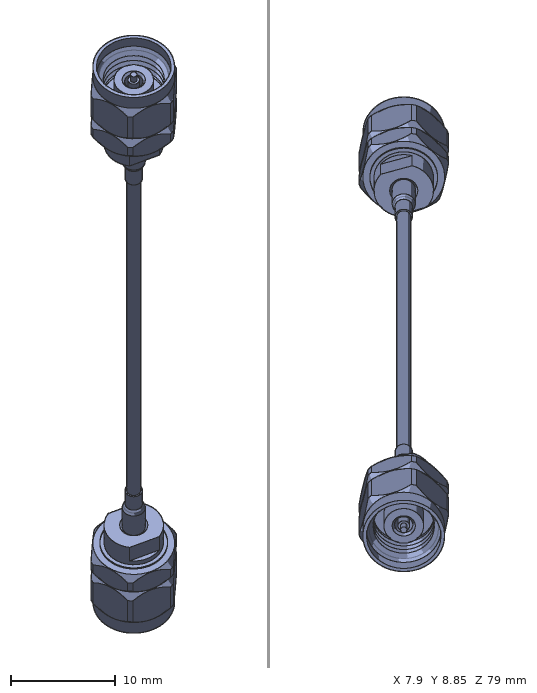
import cadquery as cq
import math

TOTAL_LENGTH = 79.0
TIP_Z = TOTAL_LENGTH / 2

HEX_ACROSS_FLATS = 7.9
HEX_CORNER_DIAMETER = 8.85
HEX_CHAMFER_LENGTH = 0.7
HEX_CHAMFER_INSET = 0.04
HEX_CHAMFER_RADIUS = HEX_ACROSS_FLATS / 2 - HEX_CHAMFER_INSET

COLLAR_RADIUS = HEX_CHAMFER_RADIUS
COLLAR_LENGTH = 1.6
NUT_LENGTH = 6.1
MOUTH_RADIUS = 3.55
MOUTH_DEPTH = 1.2
THREAD_MAJOR_RADIUS = 3.3
THREAD_MINOR_RADIUS = 2.9
THREAD_START_DEPTH = 1.5
THREAD_PITCH = 0.7
THREAD_COUNT = 4
THREAD_END_DEPTH = THREAD_START_DEPTH + THREAD_COUNT * THREAD_PITCH

CONTACT_SHELL_RADIUS = 1.9
CONTACT_SHELL_DEPTH = 2.0
CONTACT_BORE_RADIUS = 0.9
CONTACT_BORE_CHAMFER = 0.2
CONTACT_BORE_END_DEPTH = THREAD_END_DEPTH
BODY_HEX_END_DEPTH = 8.7
HUB_RADIUS = 3.2
HUB_END_DEPTH = 8.85
SHANK_RADIUS = 2.85
SHANK_END_DEPTH = 11.4
SHANK_FLAT_DISTANCE = 2.4
SHANK_FLAT_START_DEPTH = 9.4
FERRULE_HOLE_CHAMFER = 0.2

PIN_RADIUS = 0.55
PIN_TIP_RADIUS = 0.3
PIN_TIP_DEPTH = 1.2
PIN_SHOULDER_DEPTH = CONTACT_SHELL_DEPTH

FERRULE_RADIUS = 1.1
FERRULE_START_DEPTH = 9.4
FERRULE_CHAMFER_START_DEPTH = 14.0
FERRULE_CHAMFER_END_DEPTH = 14.3
FERRULE_CHAMFER_WIDTH = 0.12
SLEEVE_START_DEPTH = 14.5
SLEEVE_RADIUS = 1.65 / 2
SLEEVE_END_DEPTH = 16.5
CABLE_RADIUS = 0.67


def revolved(profile):
    """Solid of revolution about Z from (radius, depth below the tip) corner points."""
    points = [(radius, TIP_Z - depth) for radius, depth in profile]
    return cq.Workplane("XZ").polyline(points).close().revolve(360, (0, 0), (0, 1))


def rod(radius, start_depth, end_depth):
    """Round rod on the axis between two depths."""
    return revolved([(0, start_depth), (radius, start_depth), (radius, end_depth), (0, end_depth)])


def chamfered_hex(start_depth, end_depth):
    """Hexagon with corners towards +Y and -Y, turned round and chamfered at both ends."""
    corner_radius = HEX_CORNER_DIAMETER / 2
    sharp_diameter = HEX_ACROSS_FLATS / math.cos(math.pi / 6)
    prism = (
        cq.Workplane("XY", origin=(0, 0, TIP_Z - end_depth))
        .transformed(rotate=(0, 0, 90))
        .polygon(6, sharp_diameter)
        .extrude(end_depth - start_depth)
    )
    envelope = revolved([
        (0, start_depth),
        (HEX_CHAMFER_RADIUS, start_depth),
        (corner_radius, start_depth + HEX_CHAMFER_LENGTH),
        (corner_radius, end_depth - HEX_CHAMFER_LENGTH),
        (HEX_CHAMFER_RADIUS, end_depth),
        (0, end_depth),
    ])
    return prism.intersect(envelope)


def make_nut():
    """Coupling nut: round collar, hexagon, wide mouth and ring-shaped thread ridges inside."""
    blank = rod(COLLAR_RADIUS, 0, COLLAR_LENGTH).union(chamfered_hex(COLLAR_LENGTH, NUT_LENGTH))
    bore = [
        (0, 0),
        (MOUTH_RADIUS, 0),
        (MOUTH_RADIUS, MOUTH_DEPTH),
        (THREAD_MAJOR_RADIUS, THREAD_START_DEPTH),
    ]
    for ridge in range(THREAD_COUNT):
        ridge_start = THREAD_START_DEPTH + ridge * THREAD_PITCH
        bore.append((THREAD_MINOR_RADIUS, ridge_start + THREAD_PITCH / 2))
        bore.append((THREAD_MAJOR_RADIUS, ridge_start + THREAD_PITCH))
    bore += [(THREAD_MINOR_RADIUS, THREAD_END_DEPTH), (THREAD_MINOR_RADIUS, NUT_LENGTH), (0, NUT_LENGTH)]
    return blank.cut(revolved(bore))


def make_body():
    """Connector body: contact shell, spigot inside the nut, hexagon, hub and flatted shank."""
    shell = rod(CONTACT_SHELL_RADIUS, CONTACT_SHELL_DEPTH, THREAD_END_DEPTH)
    spigot = rod(THREAD_MINOR_RADIUS, THREAD_END_DEPTH, NUT_LENGTH)
    hexagon = chamfered_hex(NUT_LENGTH, BODY_HEX_END_DEPTH)
    hub = rod(HUB_RADIUS, BODY_HEX_END_DEPTH, HUB_END_DEPTH)
    shank = rod(SHANK_RADIUS, HUB_END_DEPTH, SHANK_END_DEPTH)
    flat_length = SHANK_END_DEPTH - SHANK_FLAT_START_DEPTH
    outside_flats = (
        cq.Workplane("XY", origin=(0, 0, TIP_Z - SHANK_END_DEPTH))
        .rect(2 * SHANK_RADIUS, 2 * SHANK_RADIUS)
        .extrude(flat_length)
        .cut(
            cq.Workplane("XY", origin=(0, 0, TIP_Z - SHANK_END_DEPTH))
            .rect(2 * SHANK_FLAT_DISTANCE, 2 * SHANK_RADIUS)
            .extrude(flat_length)
        )
    )
    body = shell.union(spigot).union(hexagon).union(hub).union(shank.cut(outside_flats))
    passage = revolved([
        (0, CONTACT_SHELL_DEPTH),
        (CONTACT_BORE_RADIUS + CONTACT_BORE_CHAMFER, CONTACT_SHELL_DEPTH),
        (CONTACT_BORE_RADIUS, CONTACT_SHELL_DEPTH + CONTACT_BORE_CHAMFER),
        (CONTACT_BORE_RADIUS, CONTACT_BORE_END_DEPTH),
        (PIN_RADIUS, CONTACT_BORE_END_DEPTH),
        (PIN_RADIUS, FERRULE_START_DEPTH),
        (FERRULE_RADIUS, FERRULE_START_DEPTH),
        (FERRULE_RADIUS, SHANK_END_DEPTH - FERRULE_HOLE_CHAMFER),
        (FERRULE_RADIUS + FERRULE_HOLE_CHAMFER, SHANK_END_DEPTH),
        (0, SHANK_END_DEPTH),
    ])
    return body.cut(passage)


def make_pin():
    """Centre pin with a thinner tip, reaching back to the end of the cable."""
    shaft = rod(PIN_RADIUS, PIN_SHOULDER_DEPTH, FERRULE_START_DEPTH)
    return shaft.union(rod(PIN_TIP_RADIUS, PIN_TIP_DEPTH, PIN_SHOULDER_DEPTH))


def make_ferrule():
    """Ferrule that tapers down in two cones to a thinner sleeve, all around the cable."""
    return revolved([
        (CABLE_RADIUS, FERRULE_START_DEPTH),
        (FERRULE_RADIUS, FERRULE_START_DEPTH),
        (FERRULE_RADIUS, FERRULE_CHAMFER_START_DEPTH),
        (FERRULE_RADIUS - FERRULE_CHAMFER_WIDTH, FERRULE_CHAMFER_END_DEPTH),
        (SLEEVE_RADIUS, SLEEVE_START_DEPTH),
        (SLEEVE_RADIUS, SLEEVE_END_DEPTH),
        (CABLE_RADIUS, SLEEVE_END_DEPTH),
    ])


def make_cable():
    """Cable running between the two centre pins."""
    return rod(CABLE_RADIUS, FERRULE_START_DEPTH, TOTAL_LENGTH - FERRULE_START_DEPTH)


bodies = [make_cable().val()]
for make_part in (make_nut, make_body, make_pin, make_ferrule):
    top_part = make_part()
    bottom_part = top_part.mirror("XY")
    bodies.append(top_part.solids().val())
    bodies.append(bottom_part.solids().val())

result = cq.Compound.makeCompound(bodies)